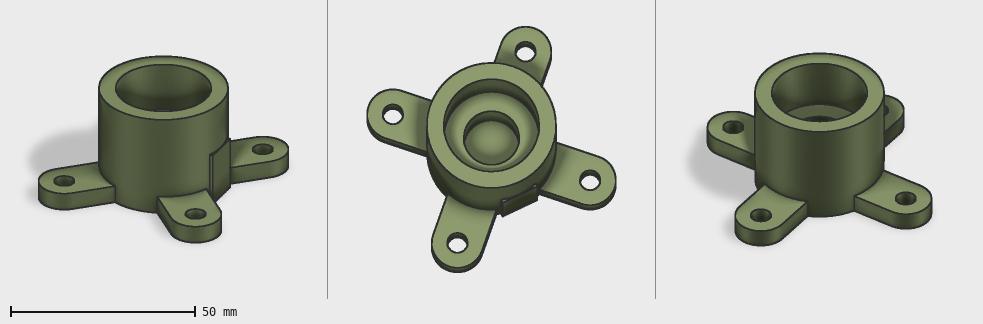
import cadquery as cq

total_height = 29.0
overall_span = 53.95

body_diameter = 35.0
base_height = 15.1
bore_diameter = 25.85
recess_diameter = 15.0

ear_width = 14.0
ear_thickness = 5.0
ear_hole_diameter = 5.5
hole_offset = (overall_span - ear_width) / 2
hole_radius_from_axis = hole_offset * 2 ** 0.5

pad_width = 10.45
pad_face_x = 17.6

recess_floor = ear_thickness


def make_ear(angle):
    """One round-ended ear reaching from the axis at the given angle."""
    arm = cq.Workplane("XY").rect(hole_radius_from_axis, ear_width)
    arm = arm.extrude(ear_thickness).translate((hole_radius_from_axis / 2, 0, 0))
    tip = cq.Workplane("XY").center(hole_radius_from_axis, 0).circle(ear_width / 2)
    ear = arm.union(tip.extrude(ear_thickness))
    return ear.rotate((0, 0, 0), (0, 0, 1), angle)


def make_pad():
    """Rectangular block that gives the base a flat face on +X."""
    return cq.Workplane("XY").box(pad_face_x, pad_width, base_height, centered=(False, True, False))


body = cq.Workplane("XY").circle(body_diameter / 2).extrude(total_height)
body = body.union(make_pad())

for angle in (45, 135, 225, 315):
    body = body.union(make_ear(angle))

bore = cq.Workplane("XY").workplane(offset=base_height).circle(bore_diameter / 2)
recess = cq.Workplane("XY").workplane(offset=recess_floor).circle(recess_diameter / 2)
body = body.cut(bore.extrude(total_height - base_height))
body = body.cut(recess.extrude(base_height - recess_floor))

ear_holes = (
    cq.Workplane("XY")
    .rect(2 * hole_offset, 2 * hole_offset, forConstruction=True)
    .vertices()
    .circle(ear_hole_diameter / 2)
    .extrude(ear_thickness)
)
result = body.cut(ear_holes)